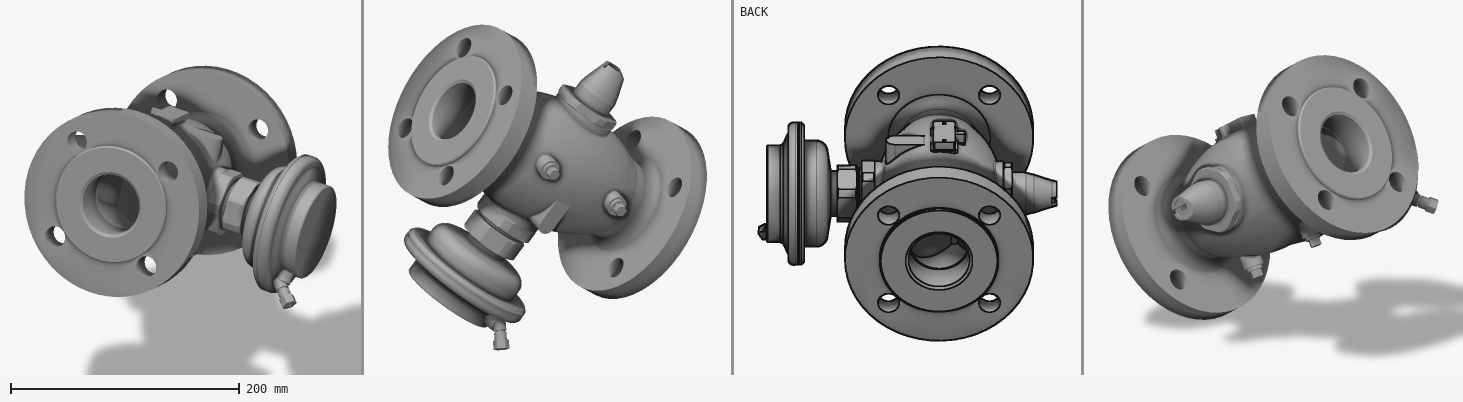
import cadquery as cq
import math


TILT = 30

flange_radius = 82.5
flange_thickness = 19.2
flange_face = 115.0
flange_back = flange_face - flange_thickness
raised_height = 3.0
raised_radius = 52.0
raised_chamfer = 1.0
bolt_circle = 125.0
bolt_hole = 18.5
bolt_count = 4

belly_radius = 55.8
belly_end = 71.8
belly_end_radius = 39.2
neck_radius = 36.75
neck_waist = 84.5
flare_middle = (91.3, 38.5)
flare_radius = 44.8

bore_radius = 26.8
bore_depth = 31.5
bore_chamfer_width = 2.5
bore_chamfer_depth = 1.7
pocket_radius = 26.0
seat_right = (20.5, 37.2)
seat_left = (-10.7, 70.5)
seat_corner = (-16.5, 66.2)
seat_ledge = (-25.4, bore_depth)

collar_radius = 28.2
collar_reach = 56.3
collar_fillet = 1.7
nut_radius = 29.3
nut_across_flats = 54.5
nut_chamfer = 0.8
cap_nut_start = -64.0
cap_nut_width = 7.3
bonnet_nut_start = 56.3
bonnet_nut_width = 11.5
union_nut_start = 72.0
union_nut_width = 17.0
union_nut_radius = 26.8
union_nut_across_flats = 49.5

cap_tip = -103.0
cap_socket_radius = 8.0
cap_socket_depth = 2.3
cap_slot_width = 4.2
cap_slot_depth = 4.5
cap_slot_end = 6.2
cap_bevel_start = -4.2
cap_bevel_end = (-98.5, -12.0)

plug_x = -8.2
plug_positions = (38.3, -44.8)
plug_root = -36.5
plug_boss_radius = 9.0
plug_boss_end = -60.0
plug_washer_radius = 7.0
plug_washer_end = -63.0
plug_hex = 9.0
plug_end = -69.5

plate_x = -4.5
plate_width = 19.2
plate_length = 37.2
plate_top = 62.5
plate_foot_width = 23.5
plate_foot_length = 42.3
plate_foot_top = 55.2
plate_root = 42.3
plate_corner = 2.5
rivet_spacing = 30.0
rivet_diameter = 2.8
rivet_depth = 1.5

lug_tip = -22.8
lug_width = 5.4
lug_top = 61.5
lug_foot_width = 9.0
lug_foot_top = 53.0

rib_start = 11.3
rib_end = 46.5
rib_width = 15.5
rib_height = 54.0

fitting_azimuth = -150
fitting_lean = 45
fitting_end_x = 153.8
fitting_end_radius = 69.5
fitting_hex = 12.0
fitting_hole_radius = 2.8
fitting_hole_depth = 2.8
fitting_base_x = 140.0
fitting_base_radius = 6.5
fitting_base_foot = 39.5
fitting_base_top = 52.0
fitting_steps = [(5.4, 6.8), (4.2, 1.7), (5.5, 9.5)]
fitting_hex_length = 8.0


def spin_x(points):
    """Solid of revolution about X from (x, radius) points."""
    profile = [(points[0][0], 0)] + points + [(points[-1][0], 0)]
    return cq.Workplane("XY").polyline(profile).close().revolve(360, (0, 0), (1, 0))


def hex_nut(start, width, radius, across_flats, turn):
    """Hexagon nut on the X axis whose corners are turned down to a cylinder."""
    corner_diameter = across_flats / math.cos(math.pi / 6)
    prism = (
        cq.Workplane("YZ", origin=(start, 0, 0))
        .transformed(rotate=(0, 0, turn))
        .polygon(6, corner_diameter)
        .extrude(width)
    )
    blank = cq.Workplane("YZ", origin=(start, 0, 0)).circle(radius).extrude(width)
    return prism.intersect(blank.faces("<X or >X").chamfer(nut_chamfer))


def both_ends(shape):
    return shape.union(shape.mirror("XZ"))


def body_shell():
    """Belly with its two necks, turned about the pipe axis."""
    return (
        cq.Workplane("XY")
        .moveTo(0, -flange_back)
        .lineTo(flare_radius, -flange_back)
        .threePointArc((flare_middle[1], -flare_middle[0]), (neck_radius, -neck_waist))
        .lineTo(belly_end_radius, -belly_end)
        .threePointArc((belly_radius, 0), (belly_end_radius, belly_end))
        .lineTo(neck_radius, neck_waist)
        .threePointArc((flare_middle[1], flare_middle[0]), (flare_radius, flange_back))
        .lineTo(0, flange_back)
        .close()
        .revolve(360, (0, 0), (0, 1))
    )


def flange():
    disc = cq.Workplane("XZ", origin=(0, -flange_back, 0)).circle(flange_radius).extrude(flange_thickness)
    raised = (
        cq.Workplane("XZ", origin=(0, -flange_face, 0))
        .circle(raised_radius)
        .extrude(raised_height)
        .faces("<Y")
        .chamfer(raised_chamfer)
    )
    holes = (
        cq.Workplane("XZ", origin=(0, -flange_back, 0))
        .polarArray(bolt_circle / 2, 45, 360, bolt_count)
        .circle(bolt_hole / 2)
        .extrude(flange_thickness)
    )
    return disc.union(raised).cut(holes)


def bore():
    """Countersunk bore ending in a slanted seat between two side walls."""
    mouth = -flange_face - raised_height
    bore_end = mouth + bore_depth
    seat_depth = seat_left[1]
    drill = (
        cq.Workplane("XY")
        .moveTo(0, mouth)
        .lineTo(bore_radius + bore_chamfer_width, mouth)
        .lineTo(bore_radius, mouth + bore_chamfer_depth)
        .lineTo(bore_radius, bore_end)
        .lineTo(0, bore_end)
        .close()
        .revolve(360, (0, 0), (0, 1))
    )
    seat_outline = [(bore_radius, bore_depth), seat_right, seat_left, seat_corner, seat_ledge]
    ramps = (
        cq.Workplane("XY", origin=(0, mouth, 0))
        .polyline(seat_outline)
        .close()
        .extrude(bore_radius, both=True)
    )
    pocket = cq.Workplane("XZ", origin=(0, mouth + seat_depth, 0)).circle(pocket_radius).extrude(seat_depth)
    return drill.union(ramps.intersect(pocket))


def ribs():
    rib_radius = rib_width / 2
    square_end = rib_end - rib_radius
    return (
        cq.Workplane("XY")
        .moveTo(rib_start, -rib_radius)
        .lineTo(square_end, -rib_radius)
        .threePointArc((rib_end, 0), (square_end, rib_radius))
        .lineTo(rib_start, rib_radius)
        .close()
        .extrude(rib_height, both=True)
    )


def block(x, width, length, bottom, top):
    return cq.Workplane("XY", origin=(x, 0, bottom)).rect(width, length).extrude(top - bottom)


def label_plate():
    foot = block(plate_x, plate_foot_width, plate_foot_length, plate_root, plate_foot_top)
    foot = foot.edges("|Z").chamfer(plate_corner)
    plate = block(plate_x, plate_width, plate_length, plate_root, plate_top)
    plate = plate.edges("|Z").chamfer(plate_corner / 2)
    rivets = (
        cq.Workplane("XY", origin=(plate_x, 0, plate_top - rivet_depth))
        .rarray(2.8, rivet_spacing, 1, 2)
        .circle(rivet_diameter / 2)
        .extrude(rivet_depth)
    )
    lug_length = plate_x - lug_tip
    lug_middle = (plate_x + lug_tip) / 2
    lug = block(lug_middle, lug_length, lug_width, plate_root, lug_top)
    lug = lug.edges("|Z and <X").fillet(lug_width / 3)
    lug_foot = block(lug_middle, lug_length, lug_foot_width, plate_root, lug_foot_top)
    lug_foot = lug_foot.edges("|Z and <X").chamfer(lug_width / 3)
    return foot.union(plate).cut(rivets).union(lug).union(lug_foot)


def test_plug(y):
    """Boss, washer and hexagon head of one plug, pointing down from the body."""

    def rod(start, end):
        return cq.Workplane("XY", origin=(plug_x, y, start)), end - start

    plane, length = rod(plug_root, plug_boss_end)
    boss = plane.circle(plug_boss_radius).extrude(length)
    plane, length = rod(plug_boss_end, plug_washer_end)
    washer = plane.circle(plug_washer_radius).extrude(length)
    plane, length = rod(plug_washer_end, plug_end)
    head = plane.polygon(6, plug_hex / math.cos(math.pi / 6)).extrude(length)
    return boss.union(washer).union(head)


def cap():
    """Tapered cap with a slotted socket and one bevelled side at its tip."""
    dome = spin_x([(cap_tip, 10.7), (-98.5, 11.8), (-82.8, 17.0), (-75.8, 18.5), (-collar_reach, 18.5)])
    socket = cq.Workplane("YZ", origin=(cap_tip, 0, 0)).circle(cap_socket_radius).extrude(cap_socket_depth)
    slot_reach = collar_radius
    slot = (
        cq.Workplane("YZ", origin=(cap_tip, (slot_reach - cap_slot_end) / 2, 0))
        .rect(slot_reach + cap_slot_end, cap_slot_width)
        .extrude(cap_slot_depth)
    )
    bevel = (
        cq.Workplane("XY")
        .polyline([(cap_tip, cap_bevel_start), cap_bevel_end, (cap_tip, cap_bevel_end[1])])
        .close()
        .extrude(collar_radius, both=True)
    )
    return dome.cut(socket).cut(slot.rotate((0, 0, 0), (1, 0, 0), -TILT)).cut(bevel)


def actuator():
    """Spindle neck and diaphragm housing with its clamped rim and end cover."""
    neck = spin_x([(collar_reach, 21.0), (69.5, 21.0), (69.5, 22.5), (70.7, 22.5), (70.7, 19.85), (95.8, 19.85)])
    housing = (
        cq.Workplane("XY")
        .moveTo(94.6, 0)
        .lineTo(94.6, 19.85)
        .lineTo(97.5, 36.5)
        .threePointArc((100.8, 44.0), (107.5, 46.8))
        .lineTo(118.0, 46.8)
        .lineTo(118.0, 60.0)
        .lineTo(120.8, 62.5)
        .lineTo(122.3, 62.5)
        .lineTo(122.3, 61.5)
        .lineTo(123.7, 61.5)
        .lineTo(123.7, 62.5)
        .lineTo(126.0, 62.5)
        .threePointArc((130.0, 61.7), (132.0, 59.2))
        .lineTo(132.0, 53.2)
        .lineTo(136.5, 43.7)
        .lineTo(139.2, 42.5)
        .lineTo(149.9, 42.5)
        .lineTo(150.7, 41.7)
        .lineTo(150.7, 0)
        .close()
        .revolve(360, (0, 0), (1, 0))
    )
    return neck.union(housing)


def drain_fitting():
    """Elbow fitting: a radial base on the housing and an arm leaning outwards."""
    azimuth = math.radians(fitting_azimuth)
    lean = math.radians(fitting_lean)

    def placed(x, radius):
        return (x, radius * math.cos(azimuth), radius * math.sin(azimuth))

    base_plane = cq.Plane(origin=placed(fitting_base_x, fitting_base_foot), normal=placed(0, 1))
    base = cq.Workplane(base_plane).circle(fitting_base_radius).extrude(fitting_base_top - fitting_base_foot)
    inward = placed(-math.cos(lean), -math.sin(lean))
    arm_end = cq.Workplane(cq.Plane(origin=placed(fitting_end_x, fitting_end_radius), normal=inward))
    head = arm_end.polygon(6, fitting_hex / math.cos(math.pi / 6)).extrude(fitting_hex_length)
    fitting = base.union(head.cut(arm_end.circle(fitting_hole_radius).extrude(fitting_hole_depth)))
    depth = fitting_hex_length
    for radius, length in fitting_steps:
        fitting = fitting.union(arm_end.workplane(depth).circle(radius).extrude(length))
        depth += length
    return fitting


collars = cq.Workplane("YZ").circle(collar_radius).extrude(collar_reach, both=True)
valve = body_shell().union(collars)
collar_ends = cq.selectors.BoxSelector((-collar_reach + 0.3, -33.8, -33.8), (collar_reach - 0.3, 33.8, 33.8))
valve = valve.edges(collar_ends).fillet(collar_fillet)
valve = valve.union(both_ends(flange())).union(ribs()).union(label_plate())
for position in plug_positions:
    valve = valve.union(test_plug(position))
valve = valve.cut(both_ends(bore()))
valve = valve.rotate((0, 0, 0), (1, 0, 0), -TILT)

cap_nut = hex_nut(cap_nut_start, cap_nut_width, nut_radius, nut_across_flats, 0)
bonnet_nut = hex_nut(bonnet_nut_start, bonnet_nut_width, nut_radius, nut_across_flats, 30)
union_nut = hex_nut(union_nut_start, union_nut_width, union_nut_radius, union_nut_across_flats, 0)
result = valve
for component in (cap(), cap_nut, bonnet_nut, union_nut, actuator(), drain_fitting()):
    result = result.union(component)